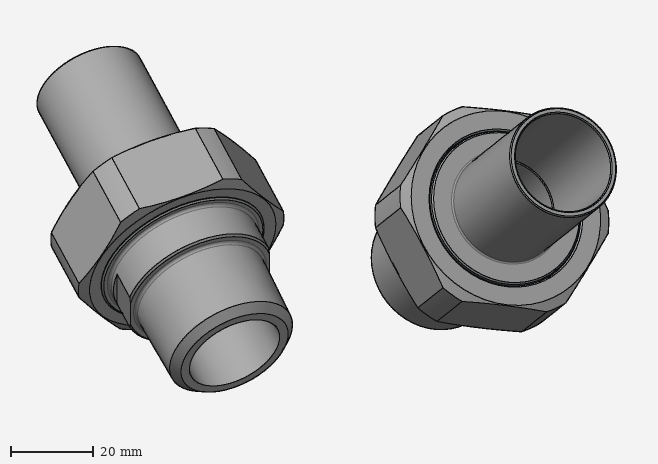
import cadquery as cq
import math


overall_length = 88.5

tube_diameter = 28.0
tube_bore = 25.0
tube_rim_chamfer = 0.3
insert_neck_diameter = 39.0
insert_neck_chamfer = 0.4
insert_neck_start = 37.9
insert_fillet = 0.4
insert_head_diameter = 43.0
insert_head_bore = 24.2
insert_head_length = 5.0

nut_across_flats = 50.0
nut_corner_diameter = 54.7
nut_start = 38.3
nut_length = 18.7
nut_chamfer_length = 0.95
nut_face_diameter = 49.6
nut_neck_bore = 39.5
nut_neck_length = 4.0
nut_neck_chamfer = 0.4
nut_thread_bore = 43.38

male_bore = 24.0
male_thread_end = 57.35
male_thread_chamfer = 0.5
collar_diameter = 39.0
collar_end = 67.5
collar_chamfer = 0.5
root_fillet = 0.75
flat_width = 37.0
flat_start = 59.4
pipe_thread_diameter = 33.249
pipe_thread_gauge_length = 10.4
pipe_thread_radius_slope = 1 / 32
pipe_thread_chamfer = 2.1

nut_end = nut_start + nut_length
seat_start = nut_start + nut_neck_length
joint_plane = seat_start + insert_head_length


def revolve_about_x(profile):
    """Turn a closed (X, radius) profile about the X axis."""
    return profile.close().revolve(360, (0, 0, 0), (1, 0, 0))


def make_insert():
    """Tube with a stepped head that the nut pulls against the male end."""
    tube_radius = tube_diameter / 2
    neck_radius = insert_neck_diameter / 2
    head_radius = insert_head_diameter / 2
    bore_radius = tube_bore / 2
    fillet_start = insert_neck_start - insert_fillet
    fillet_centre = (fillet_start, tube_radius + insert_fillet)
    profile = (
        cq.Workplane("XY")
        .moveTo(0, bore_radius + tube_rim_chamfer)
        .lineTo(0, tube_radius - tube_rim_chamfer)
        .lineTo(tube_rim_chamfer, tube_radius)
        .lineTo(fillet_start, tube_radius)
        .threePointArc(
            (
                fillet_centre[0] + insert_fillet * math.sqrt(0.5),
                fillet_centre[1] - insert_fillet * math.sqrt(0.5),
            ),
            (insert_neck_start, tube_radius + insert_fillet),
        )
        .lineTo(insert_neck_start, neck_radius - insert_neck_chamfer)
        .lineTo(insert_neck_start + insert_neck_chamfer, neck_radius)
        .lineTo(seat_start, neck_radius)
        .lineTo(seat_start, head_radius)
        .lineTo(joint_plane, head_radius)
        .lineTo(joint_plane, insert_head_bore / 2)
        .lineTo(insert_neck_start, insert_head_bore / 2)
        .lineTo(insert_neck_start, bore_radius)
        .lineTo(tube_rim_chamfer, bore_radius)
    )
    return revolve_about_x(profile)


def make_nut():
    """Hexagon nut with turned corners, flats facing +Z and -Z."""
    across_corners = nut_across_flats / math.cos(math.pi / 6)
    hexagon = (
        cq.Workplane("YZ", origin=(nut_start, 0, 0))
        .polygon(6, across_corners)
        .extrude(nut_length)
    )
    face_radius = nut_face_diameter / 2
    corner_radius = nut_corner_diameter / 2
    turned_blank = revolve_about_x(
        cq.Workplane("XY")
        .moveTo(nut_start, 0)
        .lineTo(nut_start, face_radius)
        .lineTo(nut_start + nut_chamfer_length, corner_radius)
        .lineTo(nut_end - nut_chamfer_length, corner_radius)
        .lineTo(nut_end, face_radius)
        .lineTo(nut_end, 0)
    )
    neck_radius = nut_neck_bore / 2
    stepped_bore = revolve_about_x(
        cq.Workplane("XY")
        .moveTo(nut_start, 0)
        .lineTo(nut_start, neck_radius + nut_neck_chamfer)
        .lineTo(nut_start + nut_neck_chamfer, neck_radius)
        .lineTo(seat_start, neck_radius)
        .lineTo(seat_start, nut_thread_bore / 2)
        .lineTo(nut_end, nut_thread_bore / 2)
        .lineTo(nut_end, 0)
    )
    return hexagon.intersect(turned_blank).cut(stepped_bore)


def cut_wrench_flats(body):
    """Cut two parallel flats, facing +Y and -Y, into the collar."""
    flat_length = collar_end - flat_start
    flat_middle = (flat_start + collar_end) / 2
    for side in (1, -1):
        waste_middle = side * (flat_width + collar_diameter) / 2
        waste = cq.Workplane("XY", origin=(flat_middle, waste_middle, 0)).box(
            flat_length, collar_diameter, collar_diameter
        )
        body = body.cut(waste)
    return body


def make_male_end():
    """Threaded head inside the nut, collar with flats and tapered pipe thread."""
    head_radius = nut_thread_bore / 2
    collar_radius = collar_diameter / 2
    cone_start = collar_end + root_fillet
    cone_end = overall_length - pipe_thread_chamfer
    gauge_plane = overall_length - pipe_thread_gauge_length

    def cone_radius(x):
        """Radius of the tapered thread, nominal at the gauge plane."""
        return pipe_thread_diameter / 2 + (gauge_plane - x) * pipe_thread_radius_slope

    arc_gap = root_fillet * (1 - math.sqrt(0.5))
    collar_start = male_thread_end + root_fillet
    profile = (
        cq.Workplane("XY")
        .moveTo(joint_plane, male_bore / 2)
        .lineTo(joint_plane, head_radius)
        .lineTo(male_thread_end - male_thread_chamfer, head_radius)
        .lineTo(male_thread_end, head_radius - male_thread_chamfer)
        .lineTo(male_thread_end, collar_radius + root_fillet)
        .threePointArc(
            (male_thread_end + arc_gap, collar_radius + arc_gap),
            (collar_start, collar_radius),
        )
        .lineTo(collar_end - collar_chamfer, collar_radius)
        .lineTo(collar_end, collar_radius - collar_chamfer)
        .lineTo(collar_end, cone_radius(cone_start) + root_fillet)
        .threePointArc(
            (collar_end + arc_gap, cone_radius(cone_start) + arc_gap),
            (cone_start, cone_radius(cone_start)),
        )
        .lineTo(cone_end, cone_radius(cone_end))
        .lineTo(overall_length, cone_radius(cone_end) - pipe_thread_chamfer)
        .lineTo(overall_length, male_bore / 2)
    )
    return cut_wrench_flats(revolve_about_x(profile))


insert = make_insert()
nut = make_nut()
male_end = make_male_end()

result = cq.Compound.makeCompound(
    [*insert.solids().vals(), *nut.solids().vals(), *male_end.solids().vals()]
)